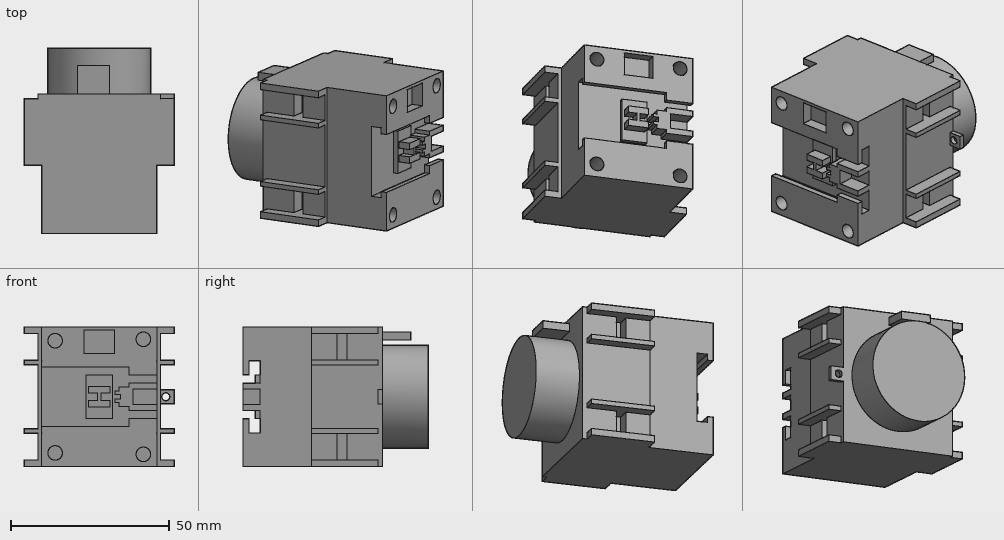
import cadquery as cq


height = 44.2
front_width = 36.4
rear_width = 38.9
rear_start = 21.6
body_depth = 44.2
front_half_width = front_width / 2
rear_half_width = rear_width / 2

overall_width = 47.5
rib_end = 42.68
outer_rib_thickness = 2.15
inner_rib_thickness = 1.5
inner_rib_top = 11.6
side_half_width = overall_width / 2
outer_rib_bottom = height / 2 - outer_rib_thickness

wire_slot_start = 29.7
wire_slot_end = 32.9
wire_slot_depth = 5.0

side_tab_height = 4.5
side_tab_thickness = body_depth - rib_end
side_tab_hole_diameter = 2.45
side_tab_hole_x = 21.05

knob_diameter = 32.7
total_depth = 58.67
lever_left = -6.95
lever_right = 3.25
lever_bottom = 17.95
lever_top = 20.5
lever_end = 53.1

channel_depth = 5.4
lip_thickness = 1.95
undercut_height = 22.8
mouth_height = 18.9
narrow_mouth_height = 13.8
mouth_step_x = 9.45

hole_diameter = 4.6
hole_depth = 10.0
hole_x = 13.95
left_hole_z = 17.75
right_hole_z = 18.2
window_width = 9.6
window_bottom = 13.7
window_top = 21.1
window_depth = 3.7

pad_width = 8.4
pad_height = narrow_mouth_height
pad_thickness = 1.55
catch_width = 6.65
catch_height = 6.6
catch_gap = 2.35
catch_web_width = 1.1

latch_arm_half_height = 4.35
latch_neck_half_height = 3.1
latch_prong_half_height = 1.8
latch_notch_half_height = 0.75
latch_neck_x = 6.25
latch_prong_x = 4.95
latch_notch_x = 6.7
latch_slot_x = 10.75
latch_slot_height = 4.9


def block(x0, x1, y0, y1, z0, z1):
    """Box between opposite corner coordinates."""
    return cq.Workplane("XY").box(x1 - x0, y1 - y0, z1 - z0, centered=False).translate((x0, y0, z0))


def centered_block(x0, x1, y0, y1, z_size):
    """Box whose height is centred on Z = 0."""
    return block(x0, x1, y0, y1, -z_size / 2, z_size / 2)


def cylinder(x, z, diameter, y0, y1):
    """Cylinder along Y from y0 to y1."""
    axis = cq.Vector(0, 1, 0)
    return cq.Workplane(cq.Solid.makeCylinder(diameter / 2, y1 - y0, cq.Vector(x, y0, z), axis))


def mirrored_in_z(shape):
    """The shape together with its mirror image across Z = 0."""
    return shape.union(shape.mirror("XY"))


def make_body():
    front = centered_block(-front_half_width, front_half_width, 0, rear_start, height)
    rear = centered_block(-rear_half_width, rear_half_width, rear_start, body_depth, height)
    return front.union(rear)


def make_ribs():
    """Full-width rib plates; the part inside the body merges with it."""
    outer = block(-side_half_width, side_half_width, rear_start, rib_end, outer_rib_bottom, height / 2)
    inner_rib_bottom = inner_rib_top - inner_rib_thickness
    inner = block(-side_half_width, side_half_width, rear_start, rib_end, inner_rib_bottom, inner_rib_top)
    return mirrored_in_z(outer.union(inner))


def make_wire_slots():
    slot_floor = rear_half_width - wire_slot_depth
    right = block(
        slot_floor, rear_half_width, wire_slot_start, wire_slot_end, inner_rib_top, outer_rib_bottom
    )
    return mirrored_in_z(right.union(right.mirror("YZ")))


def make_side_tab():
    tab_start = body_depth - side_tab_thickness
    tab = centered_block(rear_half_width, side_half_width, tab_start, body_depth, side_tab_height)
    return tab.cut(cylinder(side_tab_hole_x, 0, side_tab_hole_diameter, tab_start, body_depth))


def make_knob_and_lever():
    knob = cylinder(0, 0, knob_diameter, body_depth, total_depth)
    lever = block(lever_left, lever_right, body_depth, lever_end, lever_bottom, lever_top)
    return knob.union(lever)


def make_channel():
    """Undercut channel whose mouth narrows toward +X."""
    undercut = centered_block(
        -front_half_width, front_half_width, lip_thickness, channel_depth, undercut_height
    )
    mouth = centered_block(-front_half_width, mouth_step_x, 0, lip_thickness, mouth_height)
    narrow_mouth = centered_block(mouth_step_x, front_half_width, 0, lip_thickness, narrow_mouth_height)
    return undercut.union(mouth).union(narrow_mouth)


def make_face_recesses():
    recesses = block(-window_width / 2, window_width / 2, 0, window_depth, window_bottom, window_top)
    for x, z in ((-hole_x, left_hole_z), (hole_x, right_hole_z)):
        for side in (-1, 1):
            recesses = recesses.union(cylinder(x, side * z, hole_diameter, 0, hole_depth))
    return recesses


def make_pad_and_catch():
    pad_front = channel_depth - pad_thickness
    pad = centered_block(-pad_width / 2, pad_width / 2, pad_front, channel_depth, pad_height)
    web = centered_block(-catch_web_width / 2, catch_web_width / 2, 0, pad_front, catch_gap)
    bar = block(-catch_width / 2, catch_width / 2, 0, pad_front, catch_gap / 2, catch_height / 2)
    return pad.union(web).union(mirrored_in_z(bar))


def make_latch():
    """Stepped, forked latch as deep as the channel, with a slot open toward +X."""
    upper_edge = [
        (front_half_width, latch_arm_half_height),
        (mouth_step_x, latch_arm_half_height),
        (mouth_step_x, latch_neck_half_height),
        (latch_neck_x, latch_neck_half_height),
        (latch_neck_x, latch_prong_half_height),
        (latch_prong_x, latch_prong_half_height),
        (latch_prong_x, latch_notch_half_height),
        (latch_notch_x, latch_notch_half_height),
    ]
    lower_edge = [(x, -z) for x, z in reversed(upper_edge)]
    outline = cq.Workplane("XZ").polyline(upper_edge + lower_edge).close()
    latch = outline.extrude(-channel_depth)
    slot = centered_block(latch_slot_x, front_half_width, 0, channel_depth, latch_slot_height)
    return latch.cut(slot)


body = make_body().union(make_ribs()).cut(make_wire_slots())
body = body.union(make_side_tab()).union(make_knob_and_lever())
body = body.cut(make_channel()).cut(make_face_recesses())
result = body.union(make_pad_and_catch()).union(make_latch())